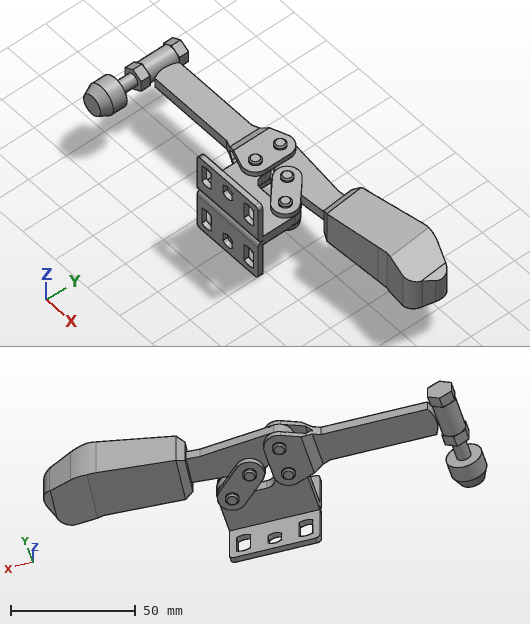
import cadquery as cq
import math


SHEET = 2.5
CORE = 2 * SHEET
EYE_RADIUS = 6.3

LEVER_PIVOT = (68.9, 38.5)
BASE_PIVOT = (68.9, 25.5)
LINK_TOP_PIVOT = (84.0, 29.3)
LINK_BASE_PIVOT = (94.1, 19.7)

RIVET_RADIUS = 2.8
RIVET_HEIGHT = 1.5
RIVET_CHAMFER = 0.7

PAD_RADIUS = 7.5
PAD_TIP_RADIUS = 5.2
PAD_BOTTOM = -2.1
PAD_CONE_TOP = 2.8
PAD_TOP = 10.1
ROD_RADIUS = 3.0
NUT_FLATS = 10.0
NUT_HEIGHT = 4.9
SLEEVE_BOTTOM = 19.5
SPINDLE_TOP = 44.6

ARM_MID_Y = 31.7
ARM_WIDTH = 13.2
ARM_TIP_X = NUT_FLATS / 2
ARM_TIP_BULGE = 2.0
FLARE_X = 51.5
FORK_BEND_START = 54.7
FORK_BEND_END = 59.0
FORK_NOTCH_END = 57.3

BASE_LENGTH_Z = 42.0
BASE_LEFT = BASE_PIVOT[0] - EYE_RADIUS
BASE_RIGHT = LINK_BASE_PIVOT[0] + EYE_RADIUS
BASE_CORNER = 2.0
WEB_FLOOR = 18.8
WEB_FLOOR_FILLET = 4.7
OPENING_WIDTH = 5.8
SLOT_LENGTH = 10.5
SLOT_END_BULGE = 0.9
SLOT_OFFSET_X = 13.0
SLOT_Z = 12.5
HOLE_LENGTH = 6.8
HOLE_END_BULGE = 1.4
HOLE_Z = 14.3

LINK_RADIUS = 6.01

LUG_RADIUS = 6.5
LEVER_NECK_DROP = 4.2
SHANK_END_TOP = 6.0
SHANK_END_BOTTOM = -6.1

GRIP_ORIGIN = (107.4, 36.0)
GRIP_TILT = 5.3
GRIP_END_HALF = 8.0
GRIP_CHAMFER = 3.3
GRIP_BLANK_HALF = 14
CREST_FILLET = 21
TIP_FILLET = 6.3


def prism(outline, half_thickness):
    """Extrude a closed XY outline equally to both sides of Z = 0."""
    return outline.extrude(half_thickness, both=True)


def disc(centre, radius, half_thickness):
    return prism(cq.Workplane("XY").center(*centre).circle(radius), half_thickness)


def tangent_point(point, centre, radius, side):
    """Touch point on a circle of the line from a point; side +1 or -1 picks one of the two."""
    dx = point[0] - centre[0]
    dy = point[1] - centre[1]
    angle = math.atan2(dy, dx) + side * math.acos(radius / math.hypot(dx, dy))
    return (centre[0] + radius * math.cos(angle), centre[1] + radius * math.sin(angle))


def rivet_head(pivot, face_z):
    """Chamfered round head standing on a +Z face."""
    head = cq.Workplane("XY", origin=(*pivot, face_z)).circle(RIVET_RADIUS).extrude(RIVET_HEIGHT)
    return head.faces(">Z").chamfer(RIVET_CHAMFER)


def make_spindle():
    """Pressure pad, rod, sleeve and the hexagon nut at each end of the sleeve."""
    outline = [
        (0, PAD_BOTTOM),
        (PAD_TIP_RADIUS, PAD_BOTTOM),
        (PAD_RADIUS, PAD_CONE_TOP),
        (PAD_RADIUS, PAD_TOP),
        (ROD_RADIUS, PAD_TOP),
        (ROD_RADIUS, SLEEVE_BOTTOM),
        (NUT_FLATS / 2, SLEEVE_BOTTOM),
        (NUT_FLATS / 2, SPINDLE_TOP),
        (0, SPINDLE_TOP),
    ]
    spindle = cq.Workplane("XY").polyline(outline).close().revolve(360, (0, 0, 0), (0, 1, 0))
    nut_corners = NUT_FLATS / math.cos(math.pi / 6)
    for nut_bottom in (SLEEVE_BOTTOM, SPINDLE_TOP - NUT_HEIGHT):
        plane = cq.Plane(origin=(0, nut_bottom, 0), xDir=(0, 0, 1), normal=(0, 1, 0))
        spindle = spindle.union(cq.Workplane(plane).polygon(6, nut_corners).extrude(NUT_HEIGHT))
    return spindle


def make_arm():
    """Flat bar that flares and splits into a fork with two leaves."""
    top = ARM_MID_Y + ARM_WIDTH / 2
    bottom = ARM_MID_Y - ARM_WIDTH / 2
    shoulder_x = ARM_TIP_X + ARM_TIP_BULGE
    right_x = LEVER_PIVOT[0] + EYE_RADIUS
    diagonal = EYE_RADIUS * math.sqrt(0.5)
    outline = (
        cq.Workplane("XY")
        .moveTo(shoulder_x, top)
        .lineTo(FLARE_X, top)
        .lineTo(*tangent_point((FLARE_X, top), LEVER_PIVOT, EYE_RADIUS, -1))
        .threePointArc((LEVER_PIVOT[0] + diagonal, LEVER_PIVOT[1] + diagonal), (right_x, LEVER_PIVOT[1]))
        .lineTo(right_x, BASE_PIVOT[1])
        .threePointArc(
            (BASE_PIVOT[0] + diagonal, BASE_PIVOT[1] - diagonal),
            tangent_point((FLARE_X, bottom), BASE_PIVOT, EYE_RADIUS, 1),
        )
        .lineTo(FLARE_X, bottom)
        .lineTo(shoulder_x, bottom)
        .threePointArc((ARM_TIP_X, ARM_MID_Y), (shoulder_x, top))
        .close()
    )
    side = [
        (ARM_TIP_X, SHEET),
        (FORK_BEND_START, SHEET),
        (FORK_BEND_END, CORE),
        (right_x, CORE),
        (right_x, SHEET),
        (FORK_NOTCH_END, SHEET),
        (FORK_BEND_START, 0),
        (ARM_TIP_X, 0),
    ]
    upper_side = cq.Workplane("XZ").polyline(side).close().extrude(-LEVER_PIVOT[1] - ARM_WIDTH)
    side_solid = upper_side.union(upper_side.mirror("XY"))
    arm = prism(outline, CORE).intersect(side_solid)
    for pivot in (LEVER_PIVOT, BASE_PIVOT):
        head = rivet_head(pivot, CORE)
        arm = arm.union(head).union(head.mirror("XY"))
    return arm


def base_opening(x, z, length, end_bulge):
    """Opening along Z through the base plate, with straight sides and bulged ends."""
    half_width = OPENING_WIDTH / 2
    side_end = length / 2 - end_bulge
    plane = cq.Plane(origin=(x, 0, z), xDir=(1, 0, 0), normal=(0, 1, 0))
    return (
        cq.Workplane(plane)
        .moveTo(-half_width, -side_end)
        .threePointArc((0, -length / 2), (half_width, -side_end))
        .lineTo(half_width, side_end)
        .threePointArc((0, length / 2), (-half_width, side_end))
        .close()
        .extrude(SHEET)
    )


def make_base():
    """Mounting plate with an upright web, bent from two sheets back to back."""
    mid_x = (BASE_LEFT + BASE_RIGHT) / 2
    width = BASE_RIGHT - BASE_LEFT
    plate = cq.Workplane("XY").box(width, SHEET, BASE_LENGTH_Z, centered=(True, False, True))
    plate = plate.translate((mid_x, 0, 0)).edges("|Y").fillet(BASE_CORNER)

    eye_right = BASE_PIVOT[0] + EYE_RADIUS
    right_eye_left = LINK_BASE_PIVOT[0] - EYE_RADIUS
    web_outline = (
        cq.Workplane("XY")
        .moveTo(BASE_LEFT, 0)
        .lineTo(BASE_RIGHT, 0)
        .lineTo(BASE_RIGHT, LINK_BASE_PIVOT[1])
        .threePointArc(
            (LINK_BASE_PIVOT[0], LINK_BASE_PIVOT[1] + EYE_RADIUS), (right_eye_left, LINK_BASE_PIVOT[1])
        )
        .lineTo(right_eye_left, WEB_FLOOR)
        .lineTo(eye_right + WEB_FLOOR_FILLET, WEB_FLOOR)
        .radiusArc((eye_right, WEB_FLOOR + WEB_FLOOR_FILLET), WEB_FLOOR_FILLET)
        .lineTo(eye_right, BASE_PIVOT[1])
        .threePointArc((BASE_PIVOT[0], BASE_PIVOT[1] + EYE_RADIUS), (BASE_LEFT, BASE_PIVOT[1]))
        .close()
    )
    base = plate.union(prism(web_outline, SHEET))

    groove_plane = cq.Plane(origin=(BASE_LEFT, 0, 0), xDir=(0, 0, -1), normal=(1, 0, 0))
    groove = (
        cq.Workplane(groove_plane)
        .moveTo(-SHEET, 0)
        .radiusArc((0, SHEET), -SHEET)
        .radiusArc((SHEET, 0), -SHEET)
        .close()
        .extrude(width)
    )
    base = base.cut(groove)

    for side in (-1, 1):
        base = base.cut(base_opening(mid_x, side * HOLE_Z, HOLE_LENGTH, HOLE_END_BULGE))
        for offset in (-SLOT_OFFSET_X, SLOT_OFFSET_X):
            base = base.cut(base_opening(mid_x + offset, side * SLOT_Z, SLOT_LENGTH, SLOT_END_BULGE))
    return base


def make_link():
    """Round-ended link with two rivet heads, lying on the +Z face of the lever and the web."""
    dx = LINK_BASE_PIVOT[0] - LINK_TOP_PIVOT[0]
    dy = LINK_BASE_PIVOT[1] - LINK_TOP_PIVOT[1]
    length = math.hypot(dx, dy)
    middle = (LINK_TOP_PIVOT[0] + dx / 2, LINK_TOP_PIVOT[1] + dy / 2, SHEET)
    link = (
        cq.Workplane("XY", origin=middle)
        .slot2D(length + 2 * LINK_RADIUS, 2 * LINK_RADIUS, math.degrees(math.atan2(dy, dx)))
        .extrude(SHEET)
    )
    for pivot in (LINK_TOP_PIVOT, LINK_BASE_PIVOT):
        link = link.union(rivet_head(pivot, CORE))
    return link


def grip_point(u, v):
    """XY position of a point in the frame of the grip."""
    tilt = math.radians(GRIP_TILT)
    x = GRIP_ORIGIN[0] + u * math.cos(tilt) - v * math.sin(tilt)
    y = GRIP_ORIGIN[1] + u * math.sin(tilt) + v * math.cos(tilt)
    return (x, y)


def make_lever():
    """Flat lever with an eye, a lug for the links, and a shank that ends at the grip."""
    shank_top = (101.1, 41.7)
    shank_bottom = (92.7, 28.8)
    lug_neck = (77.0, 29.0)
    outline = [
        (LEVER_PIVOT[0], LEVER_PIVOT[1] - LEVER_NECK_DROP),
        tangent_point(shank_top, LEVER_PIVOT, EYE_RADIUS, 1),
        shank_top,
        grip_point(0, SHANK_END_TOP),
        grip_point(0, SHANK_END_BOTTOM),
        shank_bottom,
        LINK_TOP_PIVOT,
        lug_neck,
    ]
    lever = prism(cq.Workplane("XY").polyline(outline).close(), SHEET)
    lever = lever.union(disc(LEVER_PIVOT, EYE_RADIUS, SHEET))
    return lever.union(disc(LINK_TOP_PIVOT, LUG_RADIUS, SHEET))


def make_grip():
    """Handle grip: the U-V outline crossed with a U-Z outline that swells to the crest."""
    tilt = math.radians(GRIP_TILT)
    along = (math.cos(tilt), math.sin(tilt), 0)
    across = (-math.sin(tilt), math.cos(tilt), 0)
    origin = (*GRIP_ORIGIN, 0)

    crest = (41.5, 12.4)
    tip = (62.0, 1.5)
    heel_top = (56.0, -8.7)
    plane = cq.Plane(origin=origin, xDir=along, normal=(0, 0, 1))
    outline = (
        cq.Workplane(plane)
        .moveTo(0, -GRIP_END_HALF)
        .lineTo(0, GRIP_END_HALF)
        .lineTo(GRIP_CHAMFER, 10.3)
        .lineTo(*crest)
        .lineTo(*tip)
        .lineTo(*heel_top)
        .threePointArc((54.0, -11.7), (49.3, -13.0))
        .lineTo(37.0, -9.5)
        .lineTo(31.9, -9.5)
        .lineTo(GRIP_CHAMFER, -9.8)
        .close()
    )
    grip = prism(outline, GRIP_BLANK_HALF)
    for corner, radius in ((crest, CREST_FILLET), (tip, TIP_FILLET)):
        edge = cq.selectors.NearestToPointSelector((*grip_point(*corner), 0))
        grip = grip.edges("|Z").edges(edge).fillet(radius)

    half_widths = [(0, 6.1), (GRIP_CHAMFER, 8.2), (39.4, 10.6), (55.8, 7.8), (62.8, 4.2)]
    mirrored = [(u, -z) for u, z in reversed(half_widths)]
    side_plane = cq.Plane(origin=origin, xDir=along, normal=across)
    side = cq.Workplane(side_plane).polyline(half_widths + mirrored).close().extrude(2 * GRIP_BLANK_HALF, both=True)
    return grip.intersect(side)


spindle = make_spindle()
arm = make_arm()
base = make_base()
lever = make_lever()
grip = make_grip()
upper_link = make_link()
links = [upper_link, upper_link.mirror("XY")]

result = cq.Compound.makeCompound(
    [spindle.val(), arm.val(), base.val(), lever.val(), grip.val(), *[link.val() for link in links]]
)